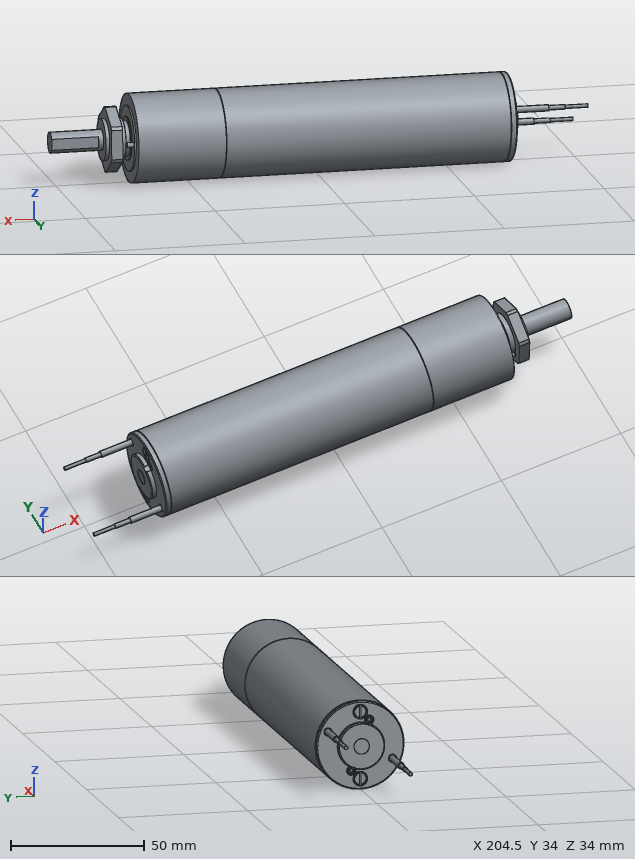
import cadquery as cq
import math


total_length = 204.5
bare_wire_end = 8.8
stripped_end = 15.1
boss_rear = 26.0
housing_rear = 28.0
end_cap_front = 30.3
gearbox_rear = 140.2
housing_front = 174.1
pilot_front = 174.7
shoulder_front = 175.1
neck_front = 177.0
pin_front = 177.8
nut_rear = 179.0
nut_front = 183.3
bushing_front = 184.8
flat_rear = 186.5

housing_d = 34.0
rear_boss_d = 18.0
pilot_d = 25.0
shoulder_d = 16.5
neck_d = 13.7
bushing_d = 16.0
shaft_d = 8.0
housing_chamfer = 0.5
boss_chamfer = 0.5
pin_chamfer = 0.6

seam_width = 0.2
seam_depth = 0.1

nut_across_flats = 22.3
nut_corner_d = 25.0
nut_turn = 2.7

flat_depth = 0.6

pin_d = 2.0
pin_offset = 10.5

wire_y = 12.5
wire_z = 5.7
insulation_d = 2.5
strands_d = 1.8
bare_wire_d = 1.4
wire_embed = 1.0

vent_y = 3.5
vent_z = 9.6
vent_d = 3.5
vent_tube_d = 2.5
vent_bore_d = 1.4
vent_recess = 0.6
wire_hole_d = 3.0
wire_hole_depth = 0.6
screw_z = 12.9
screw_hole_d = 5.5
screw_head_d = 4.5
screw_recess = 0.6
screw_slot_width = 0.6
bearing_d = 6.0
bearing_recess = 0.2


def rod(diameter, start, end, y=0.0, z=0.0):
    """Solid cylinder along X between two stations."""
    origin = cq.Vector(start, y, z)
    return cq.Workplane(cq.Solid.makeCylinder(diameter / 2, end - start, origin, cq.Vector(1, 0, 0)))


def make_body():
    body = rod(housing_d, housing_rear, housing_front).faces("<X").chamfer(housing_chamfer)
    boss = rod(rear_boss_d, boss_rear, housing_rear).faces("<X").chamfer(boss_chamfer)
    body = body.union(boss)
    steps = [
        (pilot_d, housing_front, pilot_front),
        (shoulder_d, pilot_front, shoulder_front),
        (neck_d, shoulder_front, neck_front),
        (bushing_d, neck_front, bushing_front),
    ]
    for diameter, start, end in steps:
        body = body.union(rod(diameter, start, end))
    for seam in (end_cap_front, gearbox_rear):
        groove = rod(housing_d, seam, seam + seam_width)
        body = body.cut(groove.cut(rod(housing_d - 2 * seam_depth, seam, seam + seam_width)))
    return body


def make_nut():
    thickness = nut_front - nut_rear
    hexagon = (
        cq.Workplane("YZ", origin=(nut_rear, 0, 0))
        .polygon(6, nut_across_flats / math.cos(math.pi / 6))
        .extrude(thickness)
        .rotate((0, 0, 0), (1, 0, 0), 30 + nut_turn)
    )
    return hexagon.intersect(rod(nut_corner_d, nut_rear, nut_front))


def make_shaft():
    shaft = rod(shaft_d, bushing_front, total_length)
    flat_cut = cq.Workplane("XY").box(
        total_length - flat_rear, shaft_d, shaft_d, centered=(False, False, True)
    )
    return shaft.cut(flat_cut.translate((flat_rear, shaft_d / 2 - flat_depth, 0)))


def make_wire(side):
    y = side * wire_y
    z = side * wire_z
    wire = rod(insulation_d, stripped_end, housing_rear + wire_embed, y, z)
    wire = wire.union(rod(strands_d, bare_wire_end, stripped_end, y, z))
    return wire.union(rod(bare_wire_d, 0, bare_wire_end, y, z))


def make_screw_recess(side):
    """Ring around a screw head, with the head's slot."""
    z = side * screw_z
    floor = housing_rear + screw_recess
    head = rod(screw_head_d, housing_rear, floor, 0, z)
    slot = cq.Workplane("XY").box(screw_recess, screw_slot_width, screw_head_d)
    slot = slot.translate((housing_rear + screw_recess / 2, 0, z))
    return rod(screw_hole_d, housing_rear, floor, 0, z).cut(head.cut(slot))


def make_vent(side):
    """Hole that also bites into the rim of the rear boss, around a sunken tube."""
    y = -side * vent_y
    z = side * vent_z
    floor = housing_rear + vent_recess
    tube = rod(vent_tube_d, housing_rear, floor, y, z).cut(rod(vent_bore_d, housing_rear, floor, y, z))
    return rod(vent_d, boss_rear, floor, y, z).cut(tube)


def make_wire_hole(side):
    floor = housing_rear + wire_hole_depth
    return rod(wire_hole_d, housing_rear, floor, side * wire_y, side * wire_z)


def make_pin(side):
    pin = rod(pin_d, housing_front, pin_front, side * pin_offset)
    return pin.faces(">X").chamfer(pin_chamfer)


result = make_body().union(make_nut()).union(make_shaft())
result = result.cut(rod(bearing_d, boss_rear, boss_rear + bearing_recess))
for side in (1, -1):
    result = result.cut(make_screw_recess(side)).cut(make_vent(side)).cut(make_wire_hole(side))
    result = result.union(make_wire(side)).union(make_pin(side))